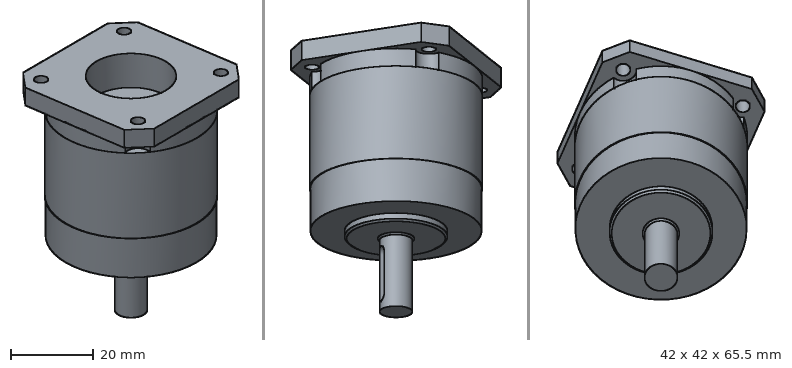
import cadquery as cq

PLATE_SIDE = 42.0
PLATE_THICKNESS = 5.05
CORNER_CHAMFER = 5.2
NECK_HEIGHT = 4.5
BORE_DIAMETER = 22.0
BOLT_PITCH = 31.0
BOLT_HOLE_DIAMETER = 3.5
BOLT_HEAD_DIAMETER = 6.5

HOUSING_DIAMETER = PLATE_SIDE
HOUSING_HEIGHT = 24.0

CAP_DIAMETER = 41.65
CAP_HEIGHT = 11.0
BOSS_DIAMETER = 25.0
BOSS_HEIGHT = 1.95
BOSS_CHAMFER = 0.5
SHAFT_DIAMETER = 8.0
SHAFT_LENGTH = 19.0
ROOT_CHAMFER = 0.45
KEYWAY_WIDTH = 3.0
KEYWAY_LENGTH = 14.3
KEYWAY_DEPTH = 2.0
KEYWAY_TIP_GAP = 2.15
KEYWAY_ANGLE = 135.0

BOSS_BOTTOM = SHAFT_LENGTH
CAP_BOTTOM = BOSS_BOTTOM + BOSS_HEIGHT
HOUSING_BOTTOM = CAP_BOTTOM + CAP_HEIGHT
NECK_BOTTOM = HOUSING_BOTTOM + HOUSING_HEIGHT
PLATE_BOTTOM = NECK_BOTTOM + NECK_HEIGHT


def cylinder(diameter, bottom, height):
    return cq.Workplane("XY").workplane(offset=bottom).circle(diameter / 2).extrude(height)


def bolt_cylinders(diameter, bottom, height):
    """One vertical cylinder on each of the four bolt axes."""
    return (
        cq.Workplane("XY")
        .workplane(offset=bottom)
        .rect(BOLT_PITCH, BOLT_PITCH, forConstruction=True)
        .vertices()
        .circle(diameter / 2)
        .extrude(height)
    )


def make_input_flange():
    plate = (
        cq.Workplane("XY")
        .workplane(offset=PLATE_BOTTOM)
        .rect(PLATE_SIDE, PLATE_SIDE)
        .extrude(PLATE_THICKNESS)
        .edges("|Z")
        .chamfer(CORNER_CHAMFER)
    )
    neck = cylinder(HOUSING_DIAMETER, NECK_BOTTOM, NECK_HEIGHT).cut(
        bolt_cylinders(BOLT_HEAD_DIAMETER, NECK_BOTTOM, NECK_HEIGHT)
    )
    bolt_holes = bolt_cylinders(BOLT_HOLE_DIAMETER, PLATE_BOTTOM, PLATE_THICKNESS)
    bore = cylinder(BORE_DIAMETER, NECK_BOTTOM, NECK_HEIGHT + PLATE_THICKNESS)
    return plate.union(neck).cut(bolt_holes).cut(bore)


def make_housing():
    return cylinder(HOUSING_DIAMETER, HOUSING_BOTTOM, HOUSING_HEIGHT)


def make_keyway():
    """Round-ended slot cutter, lying along the shaft and facing KEYWAY_ANGLE."""
    floor_distance = SHAFT_DIAMETER / 2 - KEYWAY_DEPTH
    center_height = KEYWAY_TIP_GAP + KEYWAY_LENGTH / 2
    return (
        cq.Workplane("YZ")
        .workplane(offset=floor_distance)
        .center(0, center_height)
        .slot2D(KEYWAY_LENGTH, KEYWAY_WIDTH, 90)
        .extrude(SHAFT_DIAMETER / 2)
        .rotate((0, 0, 0), (0, 0, 1), KEYWAY_ANGLE)
    )


def make_output_end():
    cap = cylinder(CAP_DIAMETER, CAP_BOTTOM, CAP_HEIGHT)
    boss = cylinder(BOSS_DIAMETER, BOSS_BOTTOM, BOSS_HEIGHT).faces("<Z").chamfer(BOSS_CHAMFER)
    shaft = cylinder(SHAFT_DIAMETER, 0, SHAFT_LENGTH)
    shaft_radius = SHAFT_DIAMETER / 2
    root_base = cq.Vector(0, 0, BOSS_BOTTOM - ROOT_CHAMFER)
    root = cq.Workplane(cq.Solid.makeCone(shaft_radius, shaft_radius + ROOT_CHAMFER, ROOT_CHAMFER, root_base))
    return cap.union(boss).union(shaft).union(root).cut(make_keyway())


input_flange = make_input_flange()
housing = make_housing()
output_end = make_output_end()

result = cq.Compound.makeCompound([input_flange.val(), housing.val(), output_end.val()])